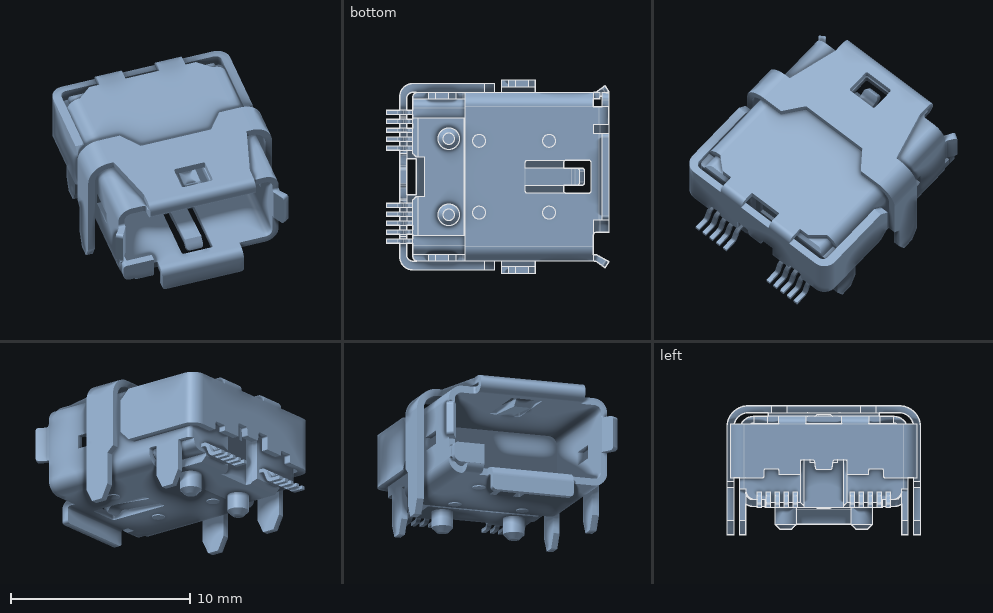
import cadquery as cq
import math


SHEET = 0.4
SIDE_WALL = 0.36
SHELL_HALF_WIDTH = 4.7
SHELL_BOTTOM = 0.06
SHELL_TOP = 5.1
SHELL_MID_Z = (SHELL_BOTTOM + SHELL_TOP) / 2
SHELL_RADIUS = 0.8
SHELL_FRONT = 10.8
SHELL_BOTTOM_REAR = 3.64
SIDE_BOTTOM = 1.04
INNER_HALF_WIDTH = SHELL_HALF_WIDTH - SIDE_WALL
INNER_RADIUS = SHELL_RADIUS - SHEET
FLAT_HALF_WIDTH = SHELL_HALF_WIDTH - SHELL_RADIUS
TOP_CORNER_REAR = 1.6
TOP_REAR = 0.92
FLAP_INNER, FLAP_OUTER = 1.0, 2.52
CORNER_CUT_START = 3.13
SIDE_WINDOW_REAR, SIDE_WINDOW_FRONT = 7.0, 8.71
SIDE_WINDOW_BOTTOM, SIDE_WINDOW_TOP = 2.2, 2.97
FLARE_BOTTOM, FLARE_TOP = 1.99, 3.97
ROOT_RADIUS = 0.17

COVER_HALF_WIDTH = 5.2
COVER_BOTTOM, COVER_TOP = 1.66, 4.67
COVER_FRONT = 5.3
COVER_RADIUS = 0.75
COVER_ARM_CHAMFER = 0.58

STRAP_HALF_WIDTH = 5.4
STRAP_TOP = 5.69
STRAP_RADIUS = 1.2
STRAP_REAR, STRAP_FRONT = 5.67, 7.57
STRAP_LEG_REAR = 6.07
FOLD_FRONT = 11.67
FOLD_HALF_WIDTH = 3.1
FOLD_RADIUS = (STRAP_TOP - SHELL_TOP + SHEET) / 2
FOLD_CENTER_X = FOLD_FRONT - FOLD_RADIUS
FOLD_CENTER_Z = STRAP_TOP - FOLD_RADIUS

TAB_TIP_Z = -1.51
TAB_TAPER_Z = -0.72
TAB_TAPER = 0.4
TAB_REAR, TAB_FRONT = 1.6, 3.13

WINDOW_REAR, WINDOW_FRONT = 9.16, 10.66
WINDOW_HALF_WIDTH = 0.91
WINDOW_RADIUS = 0.1
SPRING_SLOT_REAR = 7.0
SPRING_HALF_WIDTH = 0.48

HOUSING_REAR, HOUSING_FRONT = 0.73, 3.6
HOUSING_BODY_BOTTOM = SHELL_BOTTOM + SHEET
HOUSING_TOP = SHELL_TOP - SHEET
FOOT_HALF_WIDTH = 3.28
HOUSING_RADIUS = 0.5
FOOT_CHAMFER = 0.3
GROOVE_MOUTH, GROOVE_FLOOR = 1.3, 1.1
GROOVE_BEVEL = 0.2
GROOVE_DEPTH = 0.65
RECESS_HALF_WIDTH, RECESS_BOTTOM, RECESS_DEPTH = 0.77, 2.52, 0.2
PEG_X, PEG_Y, PEG_RADIUS = 2.74, 2.12, 0.6
PEG_BOTTOM, PEG_CHAMFER = -1.2, 0.28
LEAD_WIDTH, LEAD_PITCH, LEAD_FIRST_Y = 0.25, 0.5, 1.59
LEADS_PER_SIDE = 5


def box(x0, x1, y0, y1, z0, z1):
    """Block between two limits along each axis."""
    return cq.Workplane("XY").box(x1 - x0, y1 - y0, z1 - z0, centered=False).translate((x0, y0, z0))


def plan(points, z0, z1):
    """Prism with an outline in X, Y."""
    return cq.Workplane("XY").workplane(offset=z0).polyline(points).close().extrude(z1 - z0)


def side(points, y0, y1):
    """Prism with an outline in X, Z."""
    return cq.Workplane("XZ", origin=(0, y0, 0)).polyline(points).close().extrude(y0 - y1)


def rounded_bar(x0, x1, half_width, z0, z1, radius):
    """Bar along X with rounded edges."""
    return box(x0, x1, -half_width, half_width, z0, z1).edges("|X").fillet(radius)


def mirrored_y(points):
    """Outline of +Y points, completed by their mirror image across Y = 0."""
    return points + [(x, -y) for x, y in reversed(points)]


def both_sides(solid):
    """A solid together with its mirror image across Y = 0."""
    return solid.union(solid.mirror("XZ"))


def fillet_near(solid, points, radius):
    """Fillet the edge whose middle is nearest to each point."""
    for point in points:
        solid = solid.edges(cq.selectors.NearestToPointSelector(point)).fillet(radius)
    return solid


def tapered_tab(x0, x1, z_top, y0, y1):
    """Vertical tab whose tip narrows to enter a board hole."""
    outline = [
        (x0, z_top), (x0, TAB_TAPER_Z), (x0 + TAB_TAPER, TAB_TIP_Z),
        (x1 - TAB_TAPER, TAB_TIP_Z), (x1, TAB_TAPER_Z), (x1, z_top),
    ]
    return side(outline, y0, y1)


def make_tube():
    """Shell tube with its rear cut back and its board tabs."""
    outer = rounded_bar(HOUSING_REAR, SHELL_FRONT, SHELL_HALF_WIDTH, SHELL_BOTTOM, SHELL_TOP, SHELL_RADIUS)
    inner = rounded_bar(HOUSING_REAR, SHELL_FRONT, INNER_HALF_WIDTH,
                        SHELL_BOTTOM + SHEET, SHELL_TOP - SHEET, INNER_RADIUS)
    tube = outer.cut(inner)

    floor_gap = box(HOUSING_REAR, SHELL_BOTTOM_REAR, -SHELL_HALF_WIDTH, SHELL_HALF_WIDTH,
                    SHELL_BOTTOM, SIDE_BOTTOM)
    floor_gap_radius = 0.1
    tube = tube.cut(floor_gap.edges("|Y and >X and >Z").fillet(floor_gap_radius))

    side_top = SHELL_TOP - SHELL_RADIUS
    corner = plan([
        (HOUSING_REAR, SHELL_HALF_WIDTH), (TOP_CORNER_REAR, SHELL_HALF_WIDTH),
        (TOP_CORNER_REAR, FLAT_HALF_WIDTH), (TOP_REAR, CORNER_CUT_START),
        (TOP_REAR, FLAP_OUTER), (HOUSING_REAR, FLAP_OUTER),
    ], side_top, SHELL_TOP)
    middle = box(HOUSING_REAR, TOP_REAR, -FLAP_INNER, FLAP_INNER, HOUSING_TOP, SHELL_TOP)
    tube = tube.cut(both_sides(corner)).cut(middle)

    rear_radius = 0.27
    wall_mid_z = (SIDE_BOTTOM + side_top) / 2
    rear_corners = [(HOUSING_REAR, way * SHELL_HALF_WIDTH, wall_mid_z) for way in (-1, 1)]
    tube = fillet_near(tube, rear_corners, rear_radius)

    windows = box(SIDE_WINDOW_REAR, SIDE_WINDOW_FRONT, -SHELL_HALF_WIDTH, SHELL_HALF_WIDTH,
                  SIDE_WINDOW_BOTTOM, SIDE_WINDOW_TOP)
    tab = tapered_tab(TAB_REAR, TAB_FRONT, SIDE_BOTTOM, INNER_HALF_WIDTH, SHELL_HALF_WIDTH)
    return tube.cut(windows).union(both_sides(tab))


def make_flaps():
    """Two strips bending from the top plate down into the rear cover."""
    bend = SHELL_TOP - COVER_TOP
    flap = (
        cq.Workplane("XZ", origin=(0, FLAP_INNER, 0))
        .moveTo(0, COVER_TOP).radiusArc((bend, SHELL_TOP), bend)
        .lineTo(TOP_REAR, SHELL_TOP).lineTo(TOP_REAR, HOUSING_TOP)
        .lineTo(SHEET, HOUSING_TOP).lineTo(SHEET, COVER_TOP).close()
        .extrude(FLAP_INNER - FLAP_OUTER)
    )
    return both_sides(flap)


def make_cover():
    """Rear cover: a back plate with two arms folded along the shell sides."""
    outer = box(0, COVER_FRONT, -COVER_HALF_WIDTH, COVER_HALF_WIDTH, COVER_BOTTOM, COVER_TOP)
    outer = outer.edges("|Z and <X").fillet(COVER_RADIUS)
    outer = outer.edges("|Y and >X").chamfer(COVER_ARM_CHAMFER)
    inner = box(SHEET, COVER_FRONT, -SHELL_HALF_WIDTH, SHELL_HALF_WIDTH, COVER_BOTTOM, COVER_TOP)
    inner = inner.edges("|Z and <X").fillet(COVER_RADIUS - SHEET)

    step_z, notch_z, center_gap_z, tongue_z = 1.86, 2.17, 2.67, 2.13
    notch_outer, notch_inner = 3.33, 2.5
    tongue_root, tongue_tip = 0.53, 0.45
    edge = [
        (notch_outer, COVER_BOTTOM), (notch_outer, notch_z), (notch_inner, notch_z),
        (notch_inner, step_z), (GROOVE_MOUTH, step_z), (GROOVE_MOUTH, center_gap_z),
        (tongue_root, center_gap_z), (tongue_tip, tongue_z),
    ]
    opening = cq.Workplane("YZ").polyline(
        edge + [(-y, z) for y, z in reversed(edge)]).close().extrude(SHEET)
    cover = outer.cut(inner).cut(opening)

    edge_radius = 0.1
    sharp = [(notch_inner, step_z), (GROOVE_MOUTH, step_z)]
    rounded = [corner for corner in edge if corner not in sharp]
    corners = [(SHEET / 2, way * y, z) for y, z in rounded for way in (-1, 1)]
    return fillet_near(cover, corners, edge_radius)


def make_strap():
    """Strap over the shell, with two board legs, folded forward onto the shell top."""
    arch_bottom = STRAP_TOP - 2 * STRAP_RADIUS
    arch = box(STRAP_REAR, STRAP_FRONT, -STRAP_HALF_WIDTH, STRAP_HALF_WIDTH, arch_bottom, STRAP_TOP)
    arch = arch.edges("|X and >Z").fillet(STRAP_RADIUS)
    hollow = box(STRAP_REAR, STRAP_FRONT, SHEET - STRAP_HALF_WIDTH, STRAP_HALF_WIDTH - SHEET,
                 arch_bottom, STRAP_TOP - SHEET)
    hollow = hollow.edges("|X and >Z").fillet(STRAP_RADIUS - SHEET)
    arch = arch.cut(hollow)

    rear_notch_half, rear_notch_floor_half, rear_notch_floor = 2.92, 2.06, 6.81
    arch = arch.cut(plan(mirrored_y([
        (STRAP_REAR, rear_notch_half), (rear_notch_floor, rear_notch_floor_half),
    ]), STRAP_TOP - SHEET, STRAP_TOP))

    taper_front = 10.55
    plate = plan(mirrored_y([
        (STRAP_FRONT, FLAT_HALF_WIDTH), (taper_front, FOLD_HALF_WIDTH), (FOLD_CENTER_X, FOLD_HALF_WIDTH),
    ]), STRAP_TOP - SHEET, STRAP_TOP)
    window = box(WINDOW_REAR, WINDOW_FRONT, -WINDOW_HALF_WIDTH, WINDOW_HALF_WIDTH,
                 STRAP_TOP - SHEET, STRAP_TOP).edges("|Z").fillet(WINDOW_RADIUS)
    plate = plate.cut(window)

    slope_top, slope_bottom = 1.47, 1.13
    leg_inner = STRAP_HALF_WIDTH - SHEET
    leg = tapered_tab(STRAP_LEG_REAR, STRAP_FRONT, arch_bottom, leg_inner, STRAP_HALF_WIDTH)
    leg = leg.union(side([
        (STRAP_REAR, arch_bottom), (STRAP_REAR, slope_top), (STRAP_LEG_REAR, slope_bottom),
        (STRAP_FRONT, slope_bottom), (STRAP_FRONT, arch_bottom),
    ], leg_inner, STRAP_HALF_WIDTH))
    return arch.union(plate).union(both_sides(leg))


def make_fold():
    """Half-round fold joining the strap to the shell's top plate."""
    ring = (
        cq.Workplane("XZ", origin=(FOLD_CENTER_X, -FOLD_HALF_WIDTH, FOLD_CENTER_Z))
        .circle(FOLD_RADIUS).circle(FOLD_RADIUS - SHEET).extrude(-2 * FOLD_HALF_WIDTH)
    )
    front_half = box(FOLD_CENTER_X, FOLD_FRONT, -FOLD_HALF_WIDTH, FOLD_HALF_WIDTH,
                     SHELL_TOP - SHEET, STRAP_TOP)
    lower = box(SHELL_FRONT, FOLD_CENTER_X, -FOLD_HALF_WIDTH, FOLD_HALF_WIDTH, SHELL_TOP - SHEET, SHELL_TOP)
    return ring.intersect(front_half).union(lower)


def add_springs(shell):
    """Springs cut free in the top and bottom plates, dipping inward, with raised tips."""
    slot = box(SPRING_SLOT_REAR, WINDOW_FRONT, -WINDOW_HALF_WIDTH, WINDOW_HALF_WIDTH,
               SHELL_TOP - SHEET, SHELL_TOP).edges("|Z").fillet(WINDOW_RADIUS)
    valley_x, valley_z = 9.69, 4.85
    tip_x, tip_z = 10.03, 5.2
    tip_angle = math.atan2(tip_z - valley_z, tip_x - valley_x)
    across_x = SHEET * math.sin(tip_angle)
    across_z = SHEET * math.cos(tip_angle)
    lower_offset = SHEET * math.tan(tip_angle / 2)
    spring = side([
        (SPRING_SLOT_REAR, SHELL_TOP), (valley_x, valley_z), (tip_x, tip_z),
        (tip_x + across_x, tip_z - across_z), (valley_x + lower_offset, valley_z - SHEET),
        (SPRING_SLOT_REAR, SHELL_TOP - SHEET),
    ], -SPRING_HALF_WIDTH, SPRING_HALF_WIDTH)

    valley_radius, tip_radius = 0.25, 0.2
    spring = fillet_near(spring, [(valley_x, 0, valley_z)], valley_radius)
    tip_corners = [(tip_x + across_x / 2, way * SPRING_HALF_WIDTH, tip_z - across_z / 2) for way in (-1, 1)]
    spring = fillet_near(spring, tip_corners, tip_radius)

    def opposite(solid):
        return solid.mirror("XY", (0, 0, SHELL_MID_Z))

    shell = shell.cut(slot).cut(opposite(slot))
    return shell.union(spring).union(opposite(spring))


def make_side_flares():
    """Lead-in tabs flaring outward from the front of the side walls."""
    bend_x = SHELL_FRONT + ROOT_RADIUS
    bend_outer_y = SHELL_HALF_WIDTH + 0.03
    tip_outer_x, tip_outer_y = 11.45, 5.08
    tip_inner_y = 4.73
    tip_radius = 0.2
    tip_direction = ">(1, 0.6, 0)"
    flare = plan([
        (SHELL_FRONT, SHELL_HALF_WIDTH), (bend_x, bend_outer_y), (tip_outer_x, tip_outer_y),
        (FOLD_FRONT, tip_inner_y), (bend_x, INNER_HALF_WIDTH), (SHELL_FRONT, INNER_HALF_WIDTH),
    ], FLARE_BOTTOM, FLARE_TOP)
    flare = flare.faces(tip_direction).edges(">Z or <Z").fillet(tip_radius)
    return both_sides(flare)


def make_front_stops():
    """Floor extension bent down at the centre and up beside the -Y corner."""
    plate_rear = FOLD_FRONT - SHEET
    floor_top = SHELL_BOTTOM + SHEET
    bend_inner = 0.15
    bend_outer = bend_inner + SHEET
    corner_radius = 0.2

    down_half_width, down_bottom = 2.4, -0.93
    down = side([
        (SHELL_FRONT, floor_top), (FOLD_FRONT, floor_top), (FOLD_FRONT, down_bottom),
        (plate_rear, down_bottom), (plate_rear, SHELL_BOTTOM), (SHELL_FRONT, SHELL_BOTTOM),
    ], -down_half_width, down_half_width)
    down = down.edges("|Y and >X and >Z").fillet(bend_outer)
    down = fillet_near(down, [(plate_rear, 0, SHELL_BOTTOM)], bend_inner)
    down = down.edges("|X and <Z").fillet(corner_radius)

    up_inner_y, up_outer_y, up_top = -2.9, -4.68, 1.6
    up = side([
        (SHELL_FRONT, SHELL_BOTTOM), (FOLD_FRONT, SHELL_BOTTOM), (FOLD_FRONT, up_top),
        (plate_rear, up_top), (plate_rear, floor_top), (SHELL_FRONT, floor_top),
    ], -FLAT_HALF_WIDTH, up_inner_y)
    up = up.edges("|Y and >X and <Z").fillet(bend_outer)
    up_mid_y = (up_inner_y - FLAT_HALF_WIDTH) / 2
    up_bend_inner = 0.2
    up = fillet_near(up, [(plate_rear, up_mid_y, floor_top)], up_bend_inner)
    wing_bottom = 0.48
    wing_radius = 0.4
    wing = box(plate_rear, FOLD_FRONT, up_outer_y, up_inner_y, wing_bottom, up_top)
    wing = wing.edges("|X and <Y and >Z").fillet(corner_radius)
    wing = wing.edges("|X and <Y and <Z").fillet(wing_radius)

    lug_front, lug_bottom, lug_top = 11.16, 0.88, 1.48
    lug = box(SHELL_FRONT, lug_front, -SHELL_HALF_WIDTH, -INNER_HALF_WIDTH, lug_bottom, lug_top)
    return down.union(up).union(wing).union(lug)


def make_standoffs():
    """Round pads under the shell floor that rest on the board."""
    pad_radius = 0.36
    pad_y = 2.0
    pad_rows = (4.43, 8.33)
    points = [(x, y) for x in pad_rows for y in (-pad_y, pad_y)]
    return cq.Workplane("XY").pushPoints(points).circle(pad_radius).extrude(SHELL_BOTTOM + SHEET)


def make_housing():
    """Plastic block closing the rear of the shell, with two locating pegs."""
    body = rounded_bar(HOUSING_REAR, SHELL_BOTTOM_REAR, INNER_HALF_WIDTH,
                       HOUSING_BODY_BOTTOM, HOUSING_TOP, HOUSING_RADIUS)
    top_chamfer = side([
        (HOUSING_REAR, HOUSING_TOP), (TOP_REAR, HOUSING_TOP),
        (HOUSING_REAR, HOUSING_TOP - TOP_REAR + HOUSING_REAR),
    ], -INNER_HALF_WIDTH, INNER_HALF_WIDTH)
    body = body.cut(top_chamfer)
    foot = box(HOUSING_REAR, HOUSING_FRONT, -FOOT_HALF_WIDTH, FOOT_HALF_WIDTH, 0, HOUSING_BODY_BOTTOM)
    foot = foot.edges("|Y and <X and <Z").chamfer(FOOT_CHAMFER)
    bevel_x = HOUSING_REAR + GROOVE_BEVEL
    floor_x = HOUSING_REAR + GROOVE_DEPTH
    groove = plan(mirrored_y([
        (HOUSING_REAR, GROOVE_MOUTH), (bevel_x, GROOVE_FLOOR), (floor_x, GROOVE_FLOOR),
    ]), 0, HOUSING_TOP)
    recess = box(floor_x, floor_x + RECESS_DEPTH, -RECESS_HALF_WIDTH, RECESS_HALF_WIDTH,
                 RECESS_BOTTOM, HOUSING_TOP)
    pegs = (
        cq.Workplane("XY", origin=(PEG_X, 0, PEG_BOTTOM))
        .pushPoints([(0, -PEG_Y), (0, PEG_Y)]).circle(PEG_RADIUS).extrude(-PEG_BOTTOM)
        .faces("<Z").chamfer(PEG_CHAMFER)
    )
    return body.union(foot).cut(groove).cut(recess).union(pegs)


def make_leads():
    """Two groups of S-bent surface-mount leads."""
    thickness = 0.2
    toe_x = -0.73
    heel_x, shoulder_x = 0.13, 0.41
    upper_z = 0.69
    embed_depth = 0.25
    embed_x = HOUSING_REAR + embed_depth
    slope = math.atan2(upper_z, shoulder_x - heel_x)
    shift = thickness * math.tan(slope / 2)
    inner_radius = 0.16
    outer_radius = inner_radius + thickness
    profile = side([
        (toe_x, 0), (heel_x, 0), (shoulder_x, upper_z), (embed_x, upper_z),
        (embed_x, upper_z + thickness), (shoulder_x - shift, upper_z + thickness),
        (heel_x - shift, thickness), (toe_x, thickness),
    ], -LEAD_WIDTH / 2, LEAD_WIDTH / 2)
    bends = [
        (heel_x, 0, outer_radius), (shoulder_x, upper_z, inner_radius),
        (shoulder_x - shift, upper_z + thickness, outer_radius), (heel_x - shift, thickness, inner_radius),
    ]
    for x, z, radius in bends:
        profile = fillet_near(profile, [(x, 0, z)], radius)
    leads = cq.Workplane("XY")
    for index in range(LEADS_PER_SIDE):
        y = LEAD_FIRST_Y + index * LEAD_PITCH
        leads = leads.add(profile.translate((0, y, 0))).add(profile.translate((0, -y, 0)))
    return leads.combine()


result = add_springs(make_tube())
for piece in (make_flaps(), make_cover(), make_strap(), make_fold(), make_side_flares(),
              make_front_stops(), make_standoffs(), make_housing(), make_leads()):
    result = result.union(piece)

fold_root_z = SHELL_TOP - SHEET / 2
flare_root_y = SHELL_HALF_WIDTH - SIDE_WALL / 2
roots = []
for way in (-1, 1):
    roots.append((SHELL_FRONT, way * FOLD_HALF_WIDTH, fold_root_z))
    roots.append((SHELL_FRONT, way * flare_root_y, FLARE_TOP))
result = fillet_near(result, roots, ROOT_RADIUS)